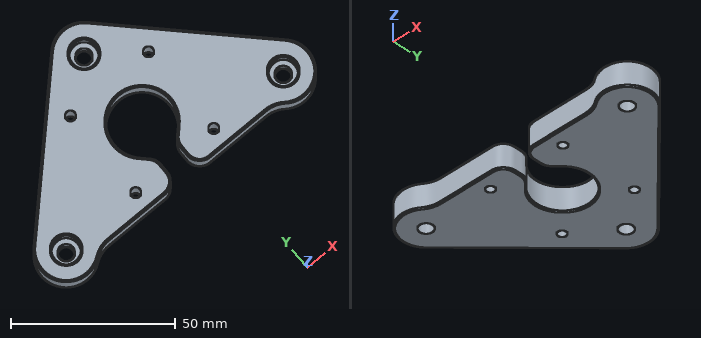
import cadquery as cq
import math

length = 106.1
thickness = 10.0
lobe_radius = 10.0
edge_chamfer = 0.5

bore_diameter = 22.0
slot_width = 8.0
slot_corner_radius = 5.0
long_edge_y = -6.0
lobe_blend_radius = 10.0

mount_hole_diameter = 5.3
counterbore_diameter = 9.0
counterbore_depth = 5.0
small_hole_diameter = 3.3
small_hole_spacing = 31.0

lobe_x = length / 2 - lobe_radius
lobe_centers = [(-lobe_x, 0), (lobe_x, 0), (0, lobe_x)]
bore_y = small_hole_spacing / 2
small_hole_centers = [
    (side * small_hole_spacing / 2, y) for side in (-1, 1) for y in (0, small_hole_spacing)
]


def prism(outline):
    return outline.close().extrude(thickness)


def cylinders(centers, diameter, base=0.0):
    return (
        cq.Workplane("XY", origin=(0, 0, base))
        .pushPoints(centers)
        .circle(diameter / 2)
        .extrude(thickness - base)
    )


def plate_blank():
    """Plate with 45 degree sides, round lobes and a blended, set-back long edge."""
    diagonal = lobe_radius * math.sqrt(0.5)
    blend_y = long_edge_y - lobe_blend_radius
    center_distance = lobe_radius + lobe_blend_radius
    blend_x = lobe_x - math.sqrt(center_distance**2 - blend_y**2)
    touch = lobe_radius / center_distance
    touch_x = lobe_x + (blend_x - lobe_x) * touch
    touch_y = blend_y * touch
    return prism(
        cq.Workplane("XY")
        .moveTo(-blend_x, long_edge_y)
        .lineTo(blend_x, long_edge_y)
        .tangentArcPoint((touch_x, touch_y), relative=False)
        .threePointArc((lobe_x + diagonal, -diagonal), (lobe_x + diagonal, diagonal))
        .lineTo(diagonal, lobe_x + diagonal)
        .threePointArc((0, lobe_x + lobe_radius), (-diagonal, lobe_x + diagonal))
        .lineTo(-lobe_x - diagonal, diagonal)
        .threePointArc((-lobe_x - diagonal, -diagonal), (-touch_x, touch_y))
        .tangentArcPoint((-blend_x, long_edge_y), relative=False)
    )


def keyhole():
    """Bore whose 45 degree tangents narrow down to the slot."""
    bore_radius = bore_diameter / 2
    tangent = bore_radius * math.sqrt(0.5)
    half_slot = slot_width / 2
    throat_y = bore_y - 2 * tangent + half_slot
    return prism(
        cq.Workplane("XY")
        .moveTo(-half_slot, long_edge_y)
        .lineTo(half_slot, long_edge_y)
        .lineTo(half_slot, throat_y)
        .lineTo(tangent, bore_y - tangent)
        .threePointArc((0, bore_y + bore_radius), (-tangent, bore_y - tangent))
        .lineTo(-half_slot, throat_y)
    )


half_box = slot_width / 2 + edge_chamfer
body = plate_blank().cut(keyhole())
slot_corners = cq.selectors.BoxSelector(
    (-half_box, long_edge_y - edge_chamfer, 0), (half_box, bore_y, thickness)
)
body = body.edges("|Z").edges(slot_corners).fillet(slot_corner_radius)

body = body.cut(cylinders(lobe_centers, counterbore_diameter, thickness - counterbore_depth))
body = body.faces("<Z or >Z").edges().chamfer(edge_chamfer)

body = body.cut(cylinders(lobe_centers, mount_hole_diameter))
result = body.cut(cylinders(small_hole_centers, small_hole_diameter))